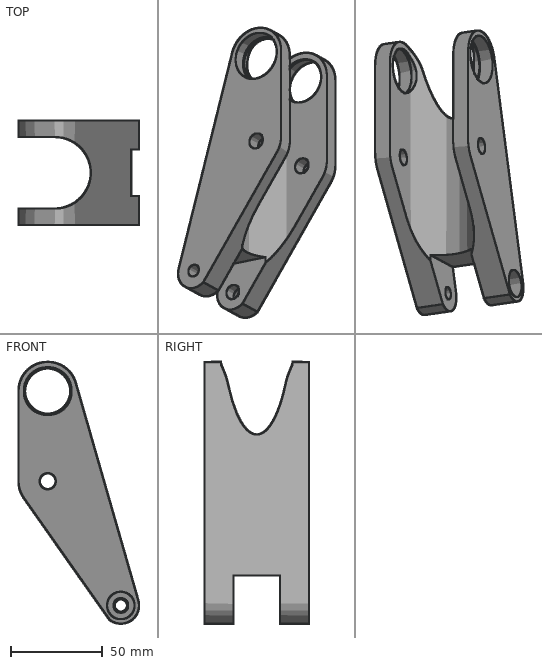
import cadquery as cq
import math

width = 57.0
head_radius = 16.0
tail_radius = 10.0
tail_x = 39.7
tail_z = -116.5
tail_edge_drop = 7.8
pin_z = -49.0

groove_width = 38.7
groove_radius = groove_width / 2
groove_depth = 39.3

notch_width = 25.0
notch_height = 26.2

bearing_diameter = 26.0
shoulder_diameter = 24.5
shoulder_thickness = 1.4
pin_diameter = 8.5
screw_head_diameter = 15.0
screw_head_depth = 8.5
screw_diameter = 8.0
thread_diameter = 6.7

left_x = -head_radius
bottom_z = tail_z - tail_radius
front_y = -width / 2
length = head_radius - bottom_z


def tangent_points(x1, z1, r1, x2, z2, r2, side):
    """Contact points of the outer tangent of two circles; side is 1 (right) or -1 (left)
    when looking from the first centre toward the second."""
    heading = math.atan2(z2 - z1, x2 - x1)
    offset = math.acos((r1 - r2) / math.hypot(x2 - x1, z2 - z1))
    angle = heading - side * offset
    return [(x + r * math.cos(angle), z + r * math.sin(angle)) for x, z, r in ((x1, z1, r1), (x2, z2, r2))]


def plate():
    head_right, tail_right = tangent_points(0, 0, head_radius, tail_x, tail_z, tail_radius, -1)
    tail_left_x = tail_x - math.sqrt(tail_radius**2 - tail_edge_drop**2)
    tail_left_z = tail_z - tail_edge_drop
    corner, tail_left = tangent_points(0, pin_z, head_radius, tail_left_x, tail_left_z, 0, 1)
    corner_angle = (math.pi + math.atan2(corner[1] - pin_z, corner[0]) % (2 * math.pi)) / 2
    corner_middle = (head_radius * math.cos(corner_angle), pin_z + head_radius * math.sin(corner_angle))
    return (
        cq.Workplane("XZ", origin=(0, width / 2, 0))
        .moveTo(left_x, 0)
        .threePointArc((0, head_radius), head_right)
        .lineTo(*tail_right)
        .threePointArc((tail_x, bottom_z), tail_left)
        .lineTo(*corner)
        .threePointArc(corner_middle, (left_x, pin_z))
        .close()
        .extrude(width)
    )


def groove():
    round_x = left_x + groove_depth - groove_radius
    return (
        cq.Workplane("XY", origin=(0, 0, bottom_z))
        .moveTo(left_x, groove_radius)
        .lineTo(round_x, groove_radius)
        .threePointArc((left_x + groove_depth, 0), (round_x, -groove_radius))
        .lineTo(left_x, -groove_radius)
        .close()
        .extrude(length)
    )


def notch():
    return cq.Workplane("XY", origin=(tail_x, 0, bottom_z)).box(
        length, notch_width, notch_height, centered=(True, True, False)
    )


def bore(x, z, diameter, start_y, depth):
    """Round cutter along +Y."""
    return cq.Workplane("XZ", origin=(x, start_y, z)).circle(diameter / 2).extrude(-depth)


cheek_thickness = (width - groove_width) / 2
bearing_depth = cheek_thickness - shoulder_thickness

result = plate().cut(groove()).cut(notch())

result = result.cut(bore(0, 0, shoulder_diameter, front_y, width))
result = result.cut(bore(0, 0, bearing_diameter, front_y, bearing_depth))
result = result.cut(bore(0, 0, bearing_diameter, width / 2 - bearing_depth, bearing_depth))

result = result.cut(bore(0, pin_z, pin_diameter, front_y, width))

result = result.cut(bore(tail_x, tail_z, screw_head_diameter, front_y, screw_head_depth))
result = result.cut(bore(tail_x, tail_z, screw_diameter, front_y, width / 2))
result = result.cut(bore(tail_x, tail_z, thread_diameter, 0, width / 2))